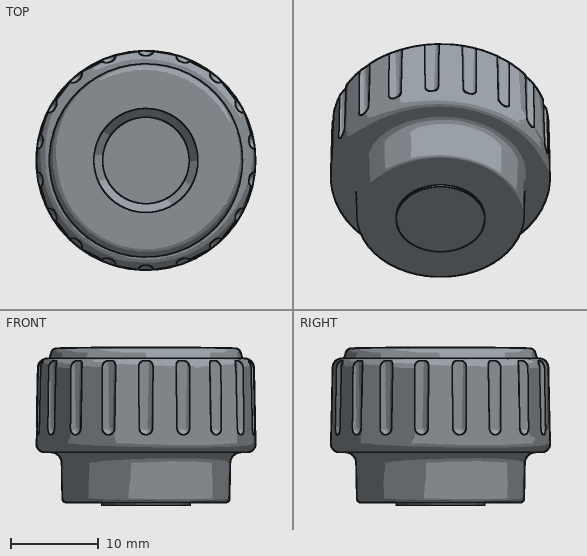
import cadquery as cq
import math

BOSS_HEIGHT = 0.32
SHOULDER_Z = 6.02
GRIP_TOP_Z = 16.72
CAP_RIM_Z = 17.87
TOTAL_HEIGHT = 17.95

BOSS_RADIUS = 5.05
NECK_BOTTOM_RADIUS = 9.5
NECK_TOP_RADIUS = 9.63
NECK_FILLET = 0.45
SHOULDER_FILLET = 1.17
GRIP_MAX_RADIUS = 12.48
GRIP_DRAFT = 1.15
GRIP_LOWER_FILLET = 1.0
GRIP_UPPER_FILLET = 1.15

FLUTE_COUNT = 18
FLUTE_RADIUS = 0.82
FLUTE_AXIS_RADIUS = 12.73
FLUTE_BALL_Z = 8.8
FLUTE_FLAT_WIDTH = 0.3

CAP_BASE_RADIUS = 10.98
CAP_DRAFT = 17.5
CAP_FILLET = 0.75
RECESS_RADIUS = 5.92
RECESS_DEPTH = 1.0


def revolve_profile(points):
    """Solid of revolution about Z from (radius, height) points."""
    return cq.Workplane("XZ").polyline(points).close().revolve(360, (0, 0, 0), (0, 1, 0))


def circle_edge(body, radius):
    """The circular edge of the given radius."""
    tolerance = 0.0002
    return body.edges("%CIRCLE").filter(lambda edge: abs(edge.radius() - radius) < tolerance)


def make_knob_blank():
    """Boss, neck and grip as one turned body with rounded edges."""
    slope = math.tan(math.radians(GRIP_DRAFT))
    grip_bottom_radius = GRIP_MAX_RADIUS + GRIP_LOWER_FILLET * slope
    grip_top_radius = grip_bottom_radius - (GRIP_TOP_Z - SHOULDER_Z) * slope
    body = revolve_profile([
        (0, 0),
        (BOSS_RADIUS, 0),
        (BOSS_RADIUS, BOSS_HEIGHT),
        (NECK_BOTTOM_RADIUS, BOSS_HEIGHT),
        (NECK_TOP_RADIUS, SHOULDER_Z),
        (grip_bottom_radius, SHOULDER_Z),
        (grip_top_radius, GRIP_TOP_Z),
        (0, GRIP_TOP_Z),
    ])
    body = circle_edge(body, NECK_BOTTOM_RADIUS).fillet(NECK_FILLET)
    body = circle_edge(body, NECK_TOP_RADIUS).fillet(SHOULDER_FILLET)
    body = circle_edge(body, grip_bottom_radius).fillet(GRIP_LOWER_FILLET)
    return circle_edge(body, grip_top_radius).fillet(GRIP_UPPER_FILLET)


def make_flute_cutter():
    """Ball, two slightly splayed cylinders and the wedge between them, on the +X side."""
    length = GRIP_TOP_Z - FLUTE_BALL_Z
    half_flat = FLUTE_FLAT_WIDTH / 2
    ball_center = cq.Vector(FLUTE_AXIS_RADIUS, 0, FLUTE_BALL_Z)
    cutter = cq.Workplane("XY").sphere(FLUTE_RADIUS).translate(ball_center)
    for side in (-1, 1):
        axis = cq.Vector(0, side * half_flat, length)
        splayed = cq.Solid.makeCylinder(FLUTE_RADIUS, length + FLUTE_RADIUS, ball_center, axis)
        cutter = cutter.union(cq.Workplane(splayed))
    wedge = (
        cq.Workplane("YZ", origin=(FLUTE_AXIS_RADIUS - FLUTE_RADIUS, 0, FLUTE_BALL_Z))
        .polyline([(0, 0), (half_flat, length), (-half_flat, length)])
        .close()
        .extrude(2 * FLUTE_RADIUS)
    )
    return cutter.union(wedge)


def make_knob():
    knob = make_knob_blank()
    cutter = make_flute_cutter()
    first_angle = 90
    for index in range(FLUTE_COUNT):
        angle = first_angle + index * 360 / FLUTE_COUNT
        knob = knob.cut(cutter.rotate((0, 0, 0), (0, 0, 1), angle))
    return knob


def make_cap():
    """Cap disc resting on the flat top of the grip."""
    rim_radius = CAP_BASE_RADIUS - (CAP_RIM_Z - GRIP_TOP_Z) * math.tan(math.radians(CAP_DRAFT))
    floor_z = TOTAL_HEIGHT - RECESS_DEPTH
    cap = revolve_profile([
        (0, GRIP_TOP_Z),
        (CAP_BASE_RADIUS, GRIP_TOP_Z),
        (rim_radius, CAP_RIM_Z),
        (RECESS_RADIUS, TOTAL_HEIGHT),
        (RECESS_RADIUS - RECESS_DEPTH, floor_z),
        (0, floor_z),
    ])
    return circle_edge(cap, rim_radius).fillet(CAP_FILLET)


knob = make_knob()
cap = make_cap()

result = cq.Compound.makeCompound([knob.val(), cap.val()])